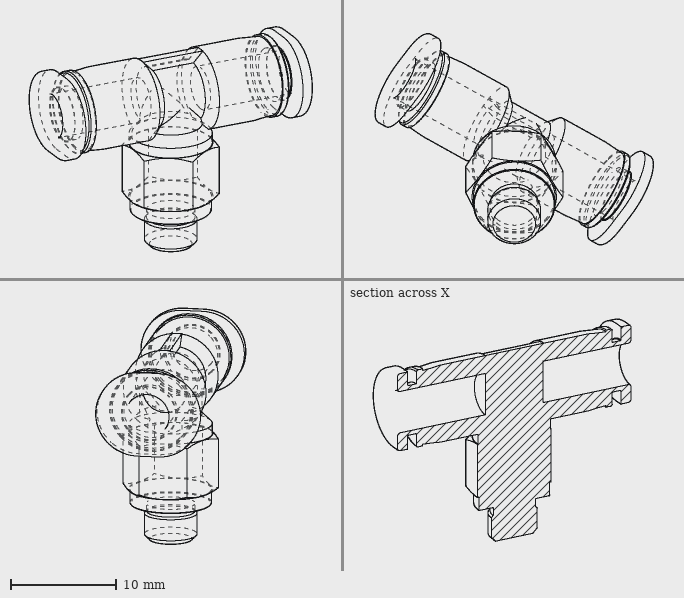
import cadquery as cq
import math


run_half_length = 12.7
flange_thickness = 1.12
ring_outer_end = 10.67
ring_inner_end = 9.95
taper_start = 8.0
shoulder_end = 3.18
body_diameter = 8.0
body_radius = body_diameter / 2
waist_radius = 3.0
taper_end_radius = 3.84
ring_chamfer = 0.15
stem_radius = 2.6
stem_root_chamfer = 0.08
flange_half_width = 5.0
flange_edge_radius = 0.3

socket_radius = 2.1
socket_lip_radius = 0.3
socket_floor = shoulder_end

rib_width = 1.0

collar_radius = 3.95
collar_top = -body_radius
nut_top = -5.0
nut_bottom = -10.5
nut_across_flats = 8.03
nut_chamfer_angle = math.radians(30)
seat_radius = 3.89
seat_bottom = -11.89
seat_chamfer = 0.08
neck_radius = 2.3
thread_radius = 2.51
thread_top = -12.85
overall_height = 19.4
thread_bottom = body_radius - overall_height
thread_chamfer = 0.48


def branch_turning(profile):
    """Revolve (radius, height) points about the Z axis."""
    return cq.Workplane("XZ").polyline(profile).close().revolve(360, (0, 0), (0, 1))


def run_body():
    """Waisted body with a tapered end, an end ring and a sleeve stem on each side."""
    waist_end = shoulder_end - (body_radius - waist_radius)
    flange_back = run_half_length - flange_thickness
    half = [
        (waist_radius, waist_end),
        (body_radius, shoulder_end),
        (body_radius, taper_start),
        (taper_end_radius, ring_inner_end),
        (body_radius, ring_inner_end),
        (body_radius, ring_outer_end - ring_chamfer),
        (body_radius - ring_chamfer, ring_outer_end),
        (stem_radius, ring_outer_end),
        (stem_radius, flange_back - stem_root_chamfer),
        (stem_radius + stem_root_chamfer, flange_back),
        (0, flange_back),
    ]
    mirrored = [(radius, -y) for radius, y in reversed(half)]
    return cq.Workplane("XY").polyline(mirrored + half).close().revolve(360, (0, 0), (0, 1))


def release_flange():
    """Oval flange at the -Y end, rounded on its outer edge."""
    flange = (
        cq.Workplane("XZ", origin=(0, -run_half_length, 0))
        .slot2D(2 * flange_half_width, 2 * body_radius)
        .extrude(-flange_thickness)
    )
    return flange.faces("<Y").edges().fillet(flange_edge_radius)


def tube_socket():
    """Blind bore at the -Y end with a rounded lip, as a cutting body."""
    lip_start = run_half_length - socket_lip_radius
    mouth_radius = socket_radius + socket_lip_radius
    lip_middle = socket_lip_radius * (1 - math.sqrt(0.5))
    return (
        cq.Workplane("XY")
        .moveTo(0, -socket_floor)
        .lineTo(socket_radius, -socket_floor)
        .lineTo(socket_radius, -lip_start)
        .threePointArc(
            (socket_radius + lip_middle, -(run_half_length - lip_middle)),
            (mouth_radius, -run_half_length),
        )
        .lineTo(0, -run_half_length)
        .close()
        .revolve(360, (0, 0), (0, 1))
    )


def rib():
    """Flat rib bridging the two shoulders along the top of the waist."""
    return cq.Workplane("XY").box(
        rib_width, 2 * shoulder_end, body_radius, centered=(True, True, False)
    )


def branch_neck():
    """Branch as wide as the waist, flaring to the collar above the nut."""
    flare_top = collar_top + collar_radius - waist_radius
    return branch_turning([
        (0, 0),
        (waist_radius, 0),
        (waist_radius, flare_top),
        (collar_radius, collar_top),
        (collar_radius, nut_top),
        (0, nut_top),
    ])


def hex_nut():
    """Hexagon with two flats facing +Y and -Y, its corners turned off at both ends."""
    flat_radius = nut_across_flats / 2
    corner_radius = flat_radius / math.cos(math.pi / 6)
    chamfer_height = (corner_radius - flat_radius) * math.tan(nut_chamfer_angle)
    hexagon = (
        cq.Workplane("XY", origin=(0, 0, nut_bottom))
        .polygon(6, 2 * corner_radius)
        .extrude(nut_top - nut_bottom)
    )
    envelope = branch_turning([
        (0, nut_top),
        (flat_radius, nut_top),
        (corner_radius, nut_top - chamfer_height),
        (corner_radius, nut_bottom + chamfer_height),
        (flat_radius, nut_bottom),
        (0, nut_bottom),
    ])
    return hexagon.intersect(envelope)


def threaded_end():
    """Sealing seat, undercut neck and plain thread cylinder below the nut."""
    return branch_turning([
        (0, nut_bottom),
        (seat_radius, nut_bottom),
        (seat_radius, seat_bottom + seat_chamfer),
        (seat_radius - seat_chamfer, seat_bottom),
        (neck_radius, seat_bottom),
        (neck_radius, thread_top + thread_radius - neck_radius),
        (thread_radius, thread_top),
        (thread_radius, thread_bottom + thread_chamfer),
        (thread_radius - thread_chamfer, thread_bottom),
        (0, thread_bottom),
    ])


result = run_body().union(rib()).union(branch_neck()).union(hex_nut()).union(threaded_end())
for end_angle in (0, 180):
    result = result.union(release_flange().rotate((0, 0, 0), (0, 0, 1), end_angle))
    result = result.cut(tube_socket().rotate((0, 0, 0), (0, 0, 1), end_angle))